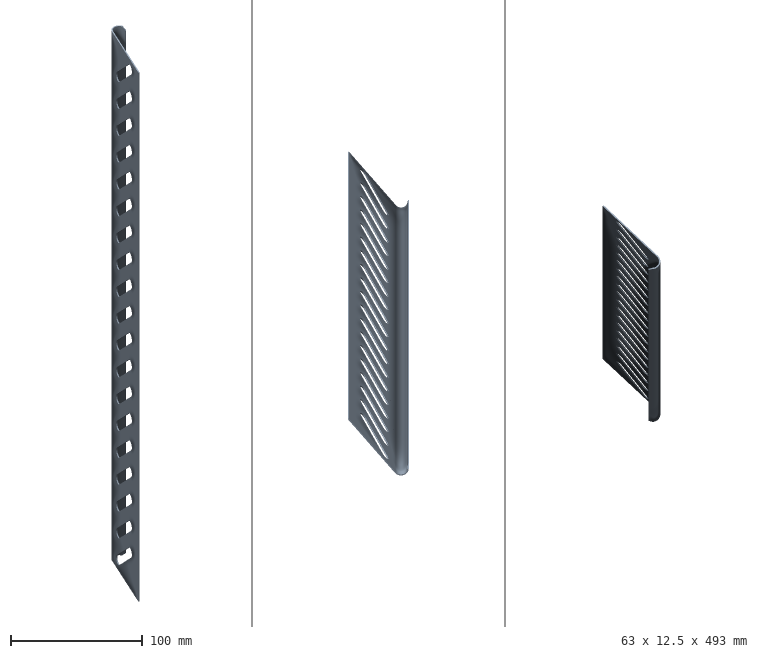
import cadquery as cq
import math

length = 493.0
width = 63.0
depth = 12.5
thickness = 1.0

bend_radius = 6.0
bend_angle = 135.0

slot_count = 19
slot_row_span = 450.0
slot_width = 8.0
slot_run = 26.0
slot_rise = 24.5
slot_center_x = 32.0

slot_pitch = slot_row_span / (slot_count - 1)
inner_radius = bend_radius - thickness
bend_end_y = bend_radius * (1 - math.cos(math.radians(bend_angle)))
lip_length = (depth - bend_end_y) / math.sin(math.radians(bend_angle))


def bend_point(radius, angle):
    """Point on the bend, turned by angle from where the bend leaves the plate."""
    turn = math.radians(angle)
    return (bend_radius - radius * math.sin(turn), bend_radius - radius * math.cos(turn))


def along_lip(point):
    """Shift a point at the end of the bend to the free edge of the lip."""
    turn = math.radians(bend_angle)
    return (point[0] - lip_length * math.cos(turn), point[1] + lip_length * math.sin(turn))


def make_sheet():
    """Bent sheet: flat plate, rolled edge and lip, extruded along Z."""
    outer_end = bend_point(bend_radius, bend_angle)
    inner_end = bend_point(inner_radius, bend_angle)
    return (
        cq.Workplane("XY")
        .moveTo(width, 0)
        .lineTo(bend_radius, 0)
        .threePointArc(bend_point(bend_radius, bend_angle / 2), outer_end)
        .lineTo(*along_lip(outer_end))
        .lineTo(*along_lip(inner_end))
        .lineTo(*inner_end)
        .threePointArc(bend_point(inner_radius, bend_angle / 2), (bend_radius, thickness))
        .lineTo(width, thickness)
        .close()
        .extrude(length)
    )


def make_lip_miter(end_z, inward):
    """Wedge that trims a free lip corner, from the bend line at one end of the sheet.

    The trim rises at 45 degrees in the plane of the lip; inward is the Z direction into the sheet.
    """
    turn = math.radians(bend_angle)
    lip_plane = cq.Plane(
        origin=(*bend_point(bend_radius, bend_angle), end_z),
        xDir=(-math.cos(turn), math.sin(turn), 0),
        normal=(math.sin(turn), math.cos(turn), 0),
    )
    return (
        cq.Workplane(lip_plane)
        .polyline([(0, 0), (lip_length, 0), (lip_length, inward * lip_length)])
        .close()
        .extrude(2 * thickness, both=True)
    )


def make_slots():
    """Row of slanted slots centered along the plate."""
    slot_length = math.hypot(slot_run, slot_rise) + slot_width
    slot_angle = math.degrees(math.atan2(slot_rise, slot_run))
    first_z = (length - slot_row_span) / 2
    centers = [(slot_center_x, first_z + i * slot_pitch) for i in range(slot_count)]
    return (
        cq.Workplane("XZ")
        .pushPoints(centers)
        .slot2D(slot_length, slot_width, slot_angle)
        .extrude(thickness, both=True)
    )


result = make_sheet().cut(make_slots())
for end_z, inward in ((0, 1), (length, -1)):
    result = result.cut(make_lip_miter(end_z, inward))